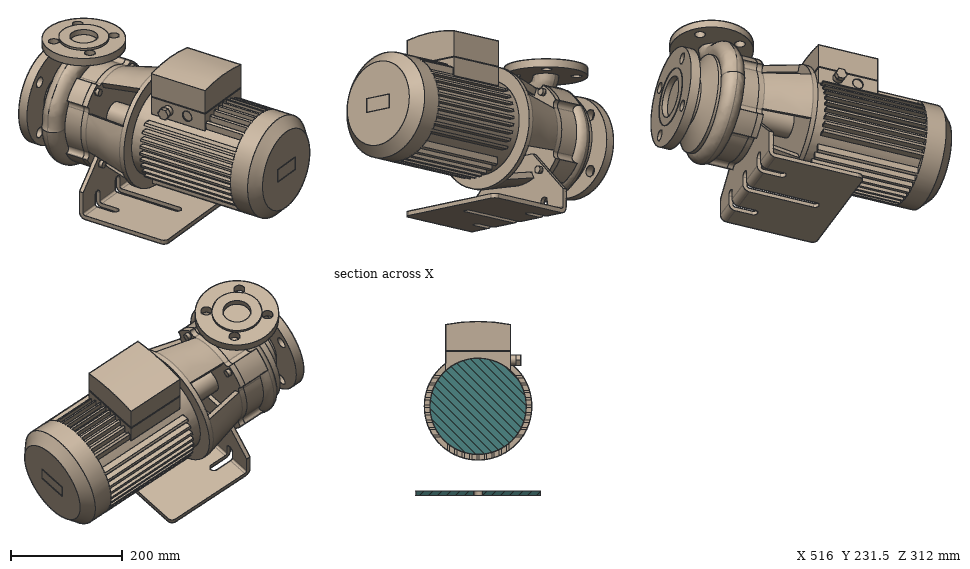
import cadquery as cq
import math


suction_flange_front = 1.0
suction_flange_back = 19.0
hub_front = 27.5
cone_front = 39.0
drum_front = 55.0
volute_x = 80.0
lantern_front = 133.5
lantern_ring_back = 144.5
lantern_flange_front = 230.5
motor_front = 240.0
fins_front = 263.5
cowl_front = 458.5
cowl_bevel_front = 496.0
cowl_back = 515.0
overall_length = 516.0

drum_radius = 181.0 / 2
suction_bore_radius = 76.0 / 2
suction_bore_depth = 10.5
suction_hub_radius = 96.0 / 2
suction_flange_radius = 185.0 / 2
suction_face_radius = 106.5 / 2
suction_hole_diameter = 20.0
suction_hole_circle = 145.0

discharge_flange_bottom = 121.5
discharge_flange_top = 136.0
discharge_face_top = 140.5
discharge_flange_radius = 150.0 / 2
discharge_face_radius = 90.0 / 2
discharge_bore_radius = 50.0 / 2
discharge_bore_depth = 10.5
discharge_hole_diameter = 19.0
discharge_hole_circle = 110.0

flange_hole_count = 4
flange_hole_offset = 45.0

scroll_start_radius = 12.5
scroll_end_radius = 21.0
scroll_start_reach = 100.0
scroll_end_reach = 119.5
scroll_angle = 270.0
scroll_sections = 10
bend_angle = 77.0
bend_sections = 6
discharge_pipe_radius = 23.5

ear_radius = 101.5
ear_half_angle = 12.8
ear_root_fillet = 10.0
side_count = 4

lantern_flange_radius = 223.0 / 2
leg_thickness = 13.0
leg_half_angle = 25.2
bearing_hub_radius = 48.5 / 2

foot_thickness = 8.0
foot_width = 224.0
foot_bottom = -160.0
foot_back = 329.5
foot_top = -39.0
foot_shoulder_front = -106.5
foot_shoulder_rear = -114.5
foot_bend_radius = 4.0
foot_corner_radius = 10.0
slot_width = 15.0
slot_spacing = 65.0
slot_top = -123.5
side_slot_back = 197.0
middle_slot_back = 289.0

bolt_y = 55.5
bolt_z = 72.0
bolt_head_diameter = 13.0
bolt_head_height = 7.5
bolt_shank_diameter = 9.0
bolt_depth = 7.5

motor_core_radius = 173.0 / 2
motor_outer_radius = 193.0 / 2
cowl_end_radius = 77.0
fins_per_side = 9
fin_span = 106.5
fin_pitch = fin_span / (fins_per_side - 1)
fin_thickness = 4.0
plate_width = 55.5
plate_height = 25.5

box_length = 115.5
box_width = 116.5
box_bottom = 64.0
box_eave = 146.5
box_crown = 152.0
lid_joint = 98.5
lid_groove = 1.0
gland_z = 82.5
gland_x = 301.0
plug_x = 340.5
gland_shank_diameter = 19.0
gland_shank_length = 10.0
gland_nut_size = 22.0
gland_nut_length = 9.0
plug_diameter = 20.0
plug_depth = 2.5


def x_cylinder(x_start, x_end, radius, y=0.0, z=0.0):
    """Cylinder along X between two positions."""
    return cq.Workplane("YZ", origin=(x_start, y, z)).circle(radius).extrude(x_end - x_start)


def z_cylinder(z_start, z_end, radius):
    """Cylinder along Z on the axis of the discharge."""
    return cq.Workplane("XY", origin=(volute_x, 0, z_start)).circle(radius).extrude(z_end - z_start)


def around_shaft(profile):
    """Solid of revolution about the shaft from (x, radius) points."""
    return cq.Workplane("XY").polyline(profile).close().revolve(360, (0, 0, 0), (1, 0, 0))


def wedge(x_start, x_end, radius, half_angle):
    """Triangular prism from the shaft axis toward +Y that covers a sector out to past the radius."""
    reach = 2 * radius
    y = reach * math.cos(math.radians(half_angle))
    z = reach * math.sin(math.radians(half_angle))
    profile = cq.Workplane("YZ", origin=(x_start, 0, 0)).polyline([(0, 0), (y, -z), (y, z)]).close()
    return profile.extrude(x_end - x_start)


def section_circle(y, z, heading, radius):
    """Circle of the volute passage, square to its heading in the YZ plane."""
    direction = cq.Vector(0, math.cos(heading), math.sin(heading))
    return cq.Wire.makeCircle(radius, cq.Vector(volute_x, y, z), direction)


def scroll():
    circles = []
    for i in range(scroll_sections):
        share = i / (scroll_sections - 1)
        angle = math.radians(90 - scroll_angle * share)
        radius = scroll_start_radius + (scroll_end_radius - scroll_start_radius) * share
        reach = scroll_start_reach + (scroll_end_reach - scroll_start_reach) * share**2
        y = (reach - radius) * math.cos(angle)
        z = (reach - radius) * math.sin(angle)
        circles.append(section_circle(y, z, angle - math.pi / 2, radius))
    return cq.Workplane(cq.Solid.makeLoft(circles))


def discharge_pipe():
    """S-bend that leaves the scroll at -Y and turns up into the middle of the discharge flange."""
    path_radius = scroll_end_reach - scroll_end_radius
    turn = math.radians(bend_angle)
    return_radius = path_radius * math.cos(turn) / (1 - math.cos(turn))
    return_height = (path_radius + return_radius) * math.sin(turn)
    growth = discharge_pipe_radius - scroll_end_radius
    circles = []
    for i in range(bend_sections):
        share = i / (bend_sections - 1)
        angle = turn * share
        y = -path_radius * math.cos(angle)
        z = path_radius * math.sin(angle)
        circles.append(section_circle(y, z, math.pi / 2 - angle, scroll_end_radius))
    for i in range(1, bend_sections):
        share = i / (bend_sections - 1)
        angle = turn * (1 - share)
        radius = scroll_end_radius + growth * share
        y = return_radius * (1 - math.cos(angle))
        z = return_height - return_radius * math.sin(angle)
        circles.append(section_circle(-y, z, math.pi / 2 - angle, radius))
    return cq.Workplane(cq.Solid.makeLoft(circles))


def eared_drum(x_start, x_end):
    """Round drum with a raised ear between each pair of lantern legs."""
    drum = x_cylinder(x_start, x_end, drum_radius)
    ear = wedge(x_start, x_end, ear_radius, ear_half_angle)
    ear = ear.intersect(x_cylinder(x_start, x_end, ear_radius))
    for i in range(side_count):
        turn = 360 / side_count * (i + 0.5)
        drum = drum.union(ear.rotate((0, 0, 0), (1, 0, 0), turn))

    def is_root(edge):
        middle = edge.Center()
        return math.hypot(middle.y, middle.z) < (drum_radius + ear_radius) / 2

    roots = [edge for edge in drum.edges("|X").vals() if is_root(edge)]
    return drum.newObject(roots).fillet(ear_root_fillet)


def suction_end():
    profile = [
        (0, 0),
        (0, suction_face_radius),
        (suction_flange_front, suction_face_radius),
        (suction_flange_front, suction_flange_radius),
        (suction_flange_back, suction_flange_radius),
        (suction_flange_back, suction_bore_radius),
        (hub_front, suction_bore_radius),
        (hub_front, suction_hub_radius),
        (cone_front, suction_hub_radius),
        (drum_front, drum_radius),
        (volute_x, drum_radius),
        (volute_x, 0),
    ]
    holes = (
        cq.Workplane("YZ")
        .polarArray(suction_hole_circle / 2, flange_hole_offset, 360, flange_hole_count)
        .circle(suction_hole_diameter / 2)
        .extrude(suction_flange_back)
    )
    bore = x_cylinder(0, suction_bore_depth, suction_bore_radius)
    return around_shaft(profile).cut(holes).cut(bore)


def discharge_flange():
    flange = z_cylinder(discharge_flange_bottom, discharge_flange_top, discharge_flange_radius)
    flange = flange.union(z_cylinder(discharge_flange_top, discharge_face_top, discharge_face_radius))
    holes = (
        cq.Workplane("XY", origin=(volute_x, 0, discharge_flange_bottom))
        .polarArray(discharge_hole_circle / 2, flange_hole_offset, 360, flange_hole_count)
        .circle(discharge_hole_diameter / 2)
        .extrude(discharge_flange_top - discharge_flange_bottom)
    )
    return flange.cut(holes)


def make_casing():
    casing = suction_end().union(eared_drum(volute_x, lantern_front))
    casing = casing.union(scroll()).union(discharge_pipe()).union(discharge_flange())
    bore_floor = discharge_face_top - discharge_bore_depth
    return casing.cut(z_cylinder(bore_floor, discharge_face_top, discharge_bore_radius))


def lantern_legs():
    cone = around_shaft([
        (lantern_ring_back, drum_radius - leg_thickness),
        (lantern_ring_back, drum_radius),
        (lantern_flange_front, lantern_flange_radius),
        (lantern_flange_front, lantern_flange_radius - leg_thickness),
    ])
    sector = wedge(lantern_ring_back, lantern_flange_front, lantern_flange_radius, leg_half_angle)
    leg = cone.intersect(sector)
    return [leg.rotate((0, 0, 0), (1, 0, 0), 360 / side_count * i) for i in range(side_count)]


def make_lantern():
    lantern = eared_drum(lantern_front, lantern_ring_back)
    lantern = lantern.union(x_cylinder(lantern_front, lantern_flange_front, bearing_hub_radius))
    lantern = lantern.union(x_cylinder(lantern_flange_front, motor_front, lantern_flange_radius))
    for leg in lantern_legs():
        lantern = lantern.union(leg)
    return lantern


def foot_slot(y, slot_back):
    """Slot that runs from the upright, round the bend and along the base."""
    upright = (
        cq.Workplane("YZ", origin=(lantern_ring_back, y, 0))
        .moveTo(-slot_width / 2, foot_bottom)
        .lineTo(-slot_width / 2, slot_top - slot_width / 2)
        .threePointArc((0, slot_top), (slot_width / 2, slot_top - slot_width / 2))
        .lineTo(slot_width / 2, foot_bottom)
        .close()
        .extrude(foot_thickness + foot_bend_radius)
    )
    base = (
        cq.Workplane("XY", origin=(0, y, foot_bottom))
        .moveTo(lantern_ring_back, -slot_width / 2)
        .lineTo(slot_back - slot_width / 2, -slot_width / 2)
        .threePointArc((slot_back, 0), (slot_back - slot_width / 2, slot_width / 2))
        .lineTo(lantern_ring_back, slot_width / 2)
        .close()
        .extrude(foot_thickness + foot_bend_radius)
    )
    return upright.union(base)


def make_foot():
    half_width = foot_width / 2
    inner_x = lantern_ring_back + foot_thickness
    inner_z = foot_bottom + foot_thickness
    foot = (
        cq.Workplane("XZ", origin=(0, half_width, 0))
        .polyline([
            (lantern_ring_back, foot_top),
            (inner_x, foot_top),
            (inner_x, inner_z),
            (foot_back, inner_z),
            (foot_back, foot_bottom),
            (lantern_ring_back, foot_bottom),
        ])
        .close()
        .extrude(foot_width)
    )
    foot = foot.edges(cq.selectors.NearestToPointSelector((inner_x, 0, inner_z))).fillet(foot_bend_radius)
    outer_corner = cq.selectors.NearestToPointSelector((lantern_ring_back, 0, foot_bottom))
    foot = foot.edges(outer_corner).fillet(foot_bend_radius + foot_thickness)
    foot = foot.edges("|Z and >X").fillet(foot_corner_radius)
    for side, shoulder in ((-1, foot_shoulder_front), (1, foot_shoulder_rear)):
        rise = foot_top - shoulder
        corner = (
            cq.Workplane("YZ", origin=(lantern_ring_back, 0, 0))
            .polyline([
                (side * half_width, shoulder),
                (side * half_width, foot_top),
                (side * (half_width - rise), foot_top),
            ])
            .close()
            .extrude(foot_thickness)
        )
        foot = foot.cut(corner)
    foot = foot.cut(foot_slot(0, middle_slot_back))
    for y in (-slot_spacing, slot_spacing):
        foot = foot.cut(foot_slot(y, side_slot_back))
    return foot


def make_bolt(seat, y, z):
    """Bolt whose head rests on a seat facing +X."""
    head = x_cylinder(seat, seat + bolt_head_height, bolt_head_diameter / 2, y, z)
    shank = x_cylinder(lantern_ring_back - bolt_depth, seat, bolt_shank_diameter / 2, y, z)
    return head.union(shank)


def make_bolts():
    foot_face = lantern_ring_back + foot_thickness
    bolts = []
    for y in (-bolt_y, bolt_y):
        bolts.append(make_bolt(lantern_ring_back, y, bolt_z))
        bolts.append(make_bolt(foot_face, y, -bolt_z))
    return bolts


def cooling_fins():
    """Parallel fins on each of the four sides, trimmed to the outside diameter of the motor."""
    length = cowl_front - fins_front
    half_fin = fin_thickness / 2
    fins = x_cylinder(fins_front, cowl_front, motor_core_radius)
    for side in range(side_count):
        for i in range(fins_per_side):
            y = fin_pitch * (i - (fins_per_side - 1) / 2)
            fin = cq.Workplane("XY").box(length, fin_thickness, motor_outer_radius, centered=False)
            fin = fin.translate((fins_front, y - half_fin, 0))
            fins = fins.union(fin.rotate((0, 0, 0), (1, 0, 0), 360 / side_count * side))
    return fins.intersect(x_cylinder(fins_front, cowl_front, motor_outer_radius))


def make_motor():
    shell = around_shaft([
        (motor_front, 0),
        (motor_front, motor_core_radius),
        (cowl_front, motor_core_radius),
        (cowl_front, motor_outer_radius),
        (cowl_bevel_front, motor_outer_radius),
        (cowl_back, cowl_end_radius),
        (cowl_back, 0),
    ])
    plate = cq.Workplane("YZ", origin=(cowl_back, 0, 0)).rect(plate_width, plate_height)
    return shell.union(cooling_fins()).union(plate.extrude(overall_length - cowl_back))


def box_outline():
    half_width = box_width / 2
    return (
        cq.Workplane("YZ", origin=(fins_front, 0, 0))
        .moveTo(-half_width, box_bottom)
        .lineTo(-half_width, box_eave)
        .threePointArc((0, box_crown), (half_width, box_eave))
        .lineTo(half_width, box_bottom)
        .close()
        .extrude(box_length)
    )


def lid_joint_groove():
    plan = cq.Workplane("XY", origin=(fins_front + box_length / 2, 0, lid_joint))
    outside = plan.rect(box_length, box_width)
    return outside.rect(box_length - 2 * lid_groove, box_width - 2 * lid_groove).extrude(lid_groove)


def make_terminal_box():
    """Box with a cable gland and a shallow plug recess on its -Y side."""
    front = -box_width / 2
    nut_seat = front - gland_shank_length
    plug = cq.Workplane("XZ", origin=(plug_x, front + plug_depth, gland_z)).circle(plug_diameter / 2)
    shank = cq.Workplane("XZ", origin=(gland_x, front, gland_z)).circle(gland_shank_diameter / 2)
    nut = cq.Workplane("XZ", origin=(gland_x, nut_seat, gland_z)).polygon(6, gland_nut_size)
    return (
        box_outline()
        .cut(lid_joint_groove())
        .cut(x_cylinder(fins_front, fins_front + box_length, motor_core_radius))
        .cut(plug.extrude(plug_depth))
        .union(shank.extrude(gland_shank_length))
        .union(nut.extrude(gland_nut_length))
    )


casing = make_casing()
lantern = make_lantern()
bolts = make_bolts()
foot = make_foot().cut(lantern)
for bolt in bolts:
    lantern = lantern.cut(bolt)
    foot = foot.cut(bolt)
terminal_box = make_terminal_box()
core = x_cylinder(fins_front, cowl_front, motor_core_radius)
motor = make_motor().cut(box_outline().cut(core))

result = cq.Compound.makeCompound([
    casing.val(),
    lantern.val(),
    foot.val(),
    motor.val(),
    terminal_box.val(),
    *[bolt.val() for bolt in bolts],
])